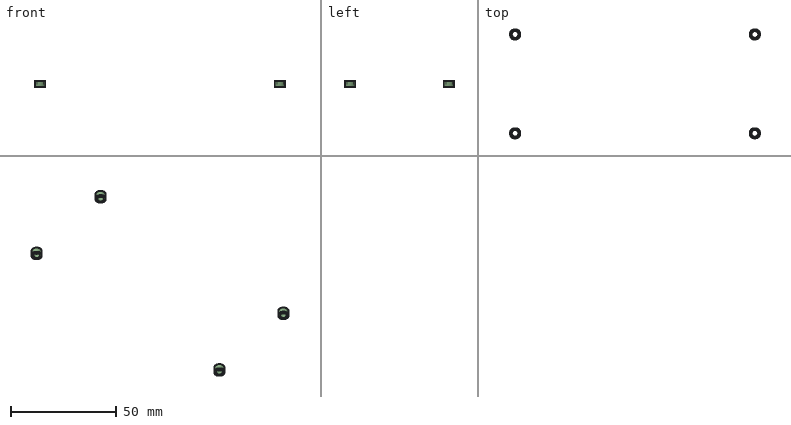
import cadquery as cq

overall_length = 119.0
overall_width = 52.0

outer_diameter = 5.0
bore_diameter = 3.1
spacer_height = 3.0

spacing_x = overall_length - outer_diameter
spacing_y = overall_width - outer_diameter


def make_spacer(x, y):
    """Plain round sleeve standing on Z = 0 with its axis at (x, y)."""
    return (
        cq.Workplane("XY")
        .center(x, y)
        .circle(outer_diameter / 2)
        .circle(bore_diameter / 2)
        .extrude(spacer_height)
    )


spacers = []
for x in (-spacing_x / 2, spacing_x / 2):
    for y in (-spacing_y / 2, spacing_y / 2):
        spacers.append(make_spacer(x, y).val())

result = cq.Compound.makeCompound(spacers)